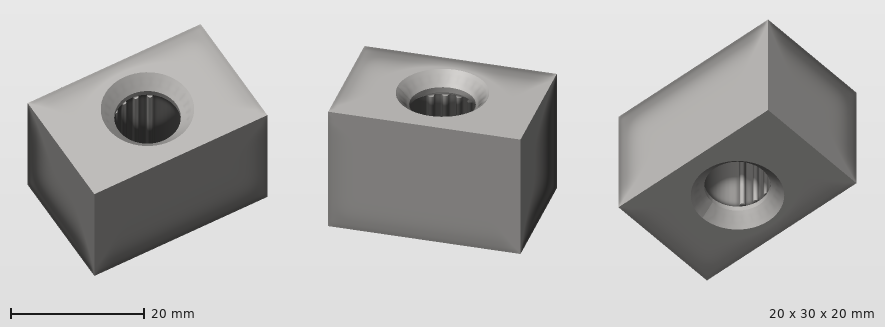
import cadquery as cq
import math

TOLERANCE = 0.003

LENGTH = 30.0
WIDTH = LENGTH * 2 / 3
HEIGHT = WIDTH

LIP_RADIUS = WIDTH / 4
MOUTH_RADIUS = 7.02
SINK_DEPTH = 2.0
LIP_DEPTH = 0.9
SEAT_DEPTH = SINK_DEPTH + LIP_DEPTH
SEAT_HEIGHT = HEIGHT - 2 * SEAT_DEPTH

END_GAP = 0.7
GRIP_HEIGHT = SEAT_HEIGHT - 2 * END_GAP
SEAT_RADIUS = 7.5
GRIP_RADIUS = 5.75
RIB_TIP_RADIUS = 0.42
RIB_CREST = 5.05
RIB_FILLET = 0.33
RIB_PITCH = 22.5
RIBS_PER_SIDE = 4


def cylinder(radius, height):
    """Upright cylinder centred on the origin."""
    return cq.Workplane("XY", origin=(0, 0, -height / 2)).circle(radius).extrude(height)


def make_entry():
    """Countersink cone that opens at the top face."""
    return (
        cq.Workplane("XY", origin=(0, 0, HEIGHT / 2 - SINK_DEPTH))
        .circle(LIP_RADIUS)
        .workplane(offset=SINK_DEPTH)
        .circle(MOUTH_RADIUS)
        .loft(ruled=True)
    )


def make_rib():
    """Round-nosed rib on the +X side, rooted in the grip wall."""
    nose_center = RIB_CREST + RIB_TIP_RADIUS
    root = (GRIP_RADIUS + SEAT_RADIUS) / 2
    return (
        cq.Workplane("XY", origin=(0, 0, -GRIP_HEIGHT / 2))
        .moveTo(root, -RIB_TIP_RADIUS)
        .lineTo(nose_center, -RIB_TIP_RADIUS)
        .threePointArc((RIB_CREST, 0), (nose_center, RIB_TIP_RADIUS))
        .lineTo(root, RIB_TIP_RADIUS)
        .close()
        .extrude(GRIP_HEIGHT)
    )


def rib_angles():
    """Rib directions: one group centred on +X and one on -X."""
    first = -RIB_PITCH * (RIBS_PER_SIDE - 1) / 2
    return [side + first + i * RIB_PITCH for side in (0, 180) for i in range(RIBS_PER_SIDE)]


def make_grip():
    """Sleeve with two groups of vertical ribs on its inner wall."""
    grip = cylinder(SEAT_RADIUS, GRIP_HEIGHT).cut(cylinder(GRIP_RADIUS, GRIP_HEIGHT))
    for angle in rib_angles():
        grip = grip.union(make_rib().rotate((0, 0, 0), (0, 0, 1), angle))
    roots = [
        edge
        for edge in grip.edges("|Z").vals()
        if abs(math.hypot(edge.Center().x, edge.Center().y) - GRIP_RADIUS) < TOLERANCE
        and abs(edge.Center().x) > GRIP_RADIUS / 2
    ]
    return grip.newObject(roots).fillet(RIB_FILLET)


def make_block():
    """Block with a countersunk bore and the grip's seat, mirrored about X = 0."""
    half = cq.Workplane("XY").box(WIDTH / 2, LENGTH, HEIGHT).translate((WIDTH / 4, 0, 0))
    half = half.cut(cylinder(LIP_RADIUS, HEIGHT)).cut(cylinder(SEAT_RADIUS, SEAT_HEIGHT))
    entry = make_entry()
    half = half.cut(entry).cut(entry.mirror("XY"))
    return half.union(half.mirror("YZ"), clean=False)


block = make_block()
grip = make_grip()
result = cq.Compound.makeCompound([block.solids().val(), grip.solids().val()])